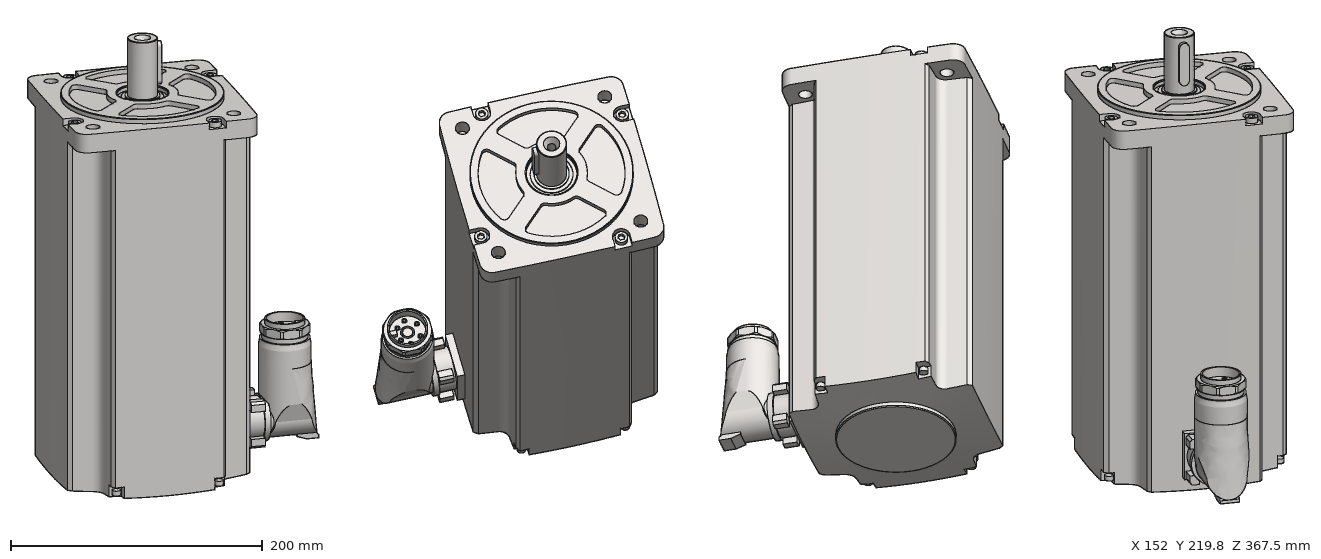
import cadquery as cq
import math

QUARTER_TURNS = [0, 90, 180, 270]

corner_half_width = 75
side_half_width = 76
corner_radius = 10
flange_thickness = 15.5
housing_bottom = -313.5
bolt_circle_dia = 165
bolt_hole_dia = 11

notch_wall = 48.5
notch_lip_start = 72
notch_draft = 1
notch_radius = 8
lip_depth = 2.8
lip_height = 4
outside = side_half_width + 5

rear_disc_dia = 96
rear_disc_height = 4
rear_disc_chamfer = 0.8
rear_cone_slope = 0.135
envelope_radius = 120

pilot_dia = 130
pilot_height = 4
pilot_chamfer = 0.5
pocket_outer_radius = 58.4
pocket_inner_radius = 28.5
pocket_depth = 4
rib_width = 16
pocket_fillet = 4

shaft_dia = 24
shaft_top = 50
shaft_chamfer = 0.5
centre_hole_dia = 6.65
centre_hole_depth = 20
centre_sink_dia = 13
centre_sink_angle = 60
key_width = 8
key_length = 36
key_end_gap = 4
key_height_above_shaft = 3
key_depth_in_shaft = 4
seal_lead_in_dia = 42
seal_lead_in_depth = 1
seal_bore_dia = 40.3
seal_bore_depth = 4
seal_outer_dia = 34
seal_inner_dia = 28
seal_step_height = 1

flange_screw_offset = 40
flange_screw_reach = 68
screw_slot_width = 14
screw_slot_depth = 5.5
screw_head_dia = 10
screw_head_height = 4.5
screw_socket_size = 5.8
screw_socket_depth = 3

cover_pocket_floor_x = 67.5
cover_pocket_inner_y = 37.5
cover_pocket_top = -299
cover_pocket_height = 7.5
cover_screw_x = 70.5
cover_screw_y = 42.5
cover_screw_dia = 7
cover_screw_height = 4

plug_y = 118
plug_dia = 42
plug_top = -218.3
shoulder_height = 4
collar_dia = 40.3
collar_height = 1.5
groove_dia = 37
groove_height = 4
nut_flats = 38.1
nut_height = 7.6
nut_chamfer = 1
insert_dia = 32
insert_height = 4.2
socket_dia = 29.4
socket_depth = 8
contact_circle_radius = 10.7
contact_angles = [0, 180, 238, 302]
small_contact_angles = [51, 129]
small_contact_circle_radius = 8.9
contact_hole_dia = 4
contact_hole_depth = 6
contact_pin_dia = 2
centre_contact_hole_dia = 11
centre_contact_dia = 8
coding_rib_width = 4

elbow_start = -233
elbow_narrowing_start = -263.4
elbow_bottom = -295
elbow_lean = 4.7
elbow_flat_start = 0.2
elbow_flat_length = 16
root_dia = 32
foot_outer_y = 143.8
foot_inner_y = 134
foot_slope_end_y = 126
foot_bottom = -297.7
foot_width = 16
neck_z = -278.3
ring_dia = 38.5
ring_outer_y = 101
ring_inner_y = 96.3
plate_width = 39
plate_outer_y = 82.2
neck_dia = 35
post_width = 8
post_outer_half_width = 19.3
post_chamfer = 2
post_gap = 2.5


def disc(diameter, bottom, height, x=0, y=0):
    return cq.Workplane("XY", origin=(x, y, bottom)).circle(diameter / 2).extrude(height)


def bar_along_y(diameter, start_y, end_y, z):
    plane = cq.Workplane("XZ", origin=(0, start_y, z))
    return plane.circle(diameter / 2).extrude(start_y - end_y)


def block(x_range, y_range, z_range):
    size = [end - start for start, end in (x_range, y_range, z_range)]
    return (
        cq.Workplane("XY")
        .box(*size, centered=False)
        .translate((x_range[0], y_range[0], z_range[0]))
    )


def turned(shape, angle):
    return shape.rotate((0, 0, 0), (0, 0, 1), angle)


def crowned_block():
    c = corner_half_width
    s = side_half_width
    return (
        cq.Workplane("XY")
        .moveTo(-c, -c)
        .threePointArc((0, -s), (c, -c))
        .threePointArc((s, 0), (c, c))
        .threePointArc((0, s), (-c, c))
        .threePointArc((-s, 0), (-c, -c))
        .close()
        .extrude(housing_bottom)
        .edges("|Z")
        .fillet(corner_radius)
    )


def rear_cone_envelope():
    disc_radius = rear_disc_dia / 2
    rim_z = housing_bottom + rear_cone_slope * (envelope_radius - disc_radius)
    return (
        cq.Workplane("XZ")
        .polyline([
            (0, 0),
            (envelope_radius, 0),
            (envelope_radius, rim_z),
            (disc_radius, housing_bottom),
            (0, housing_bottom),
        ])
        .close()
        .revolve(360, (0, 0, 0), (0, 1, 0))
    )


def corner_notch():
    arc_start = notch_wall + notch_radius
    arc_middle = arc_start - notch_radius * math.sqrt(0.5)
    lip_run = outside - notch_lip_start
    lip_base = notch_wall - notch_draft
    lip_end = lip_base - lip_run * lip_depth / lip_height
    return (
        cq.Workplane("XY", origin=(0, 0, housing_bottom))
        .moveTo(lip_end, outside)
        .lineTo(lip_base, notch_lip_start)
        .lineTo(notch_wall, arc_start)
        .threePointArc((arc_middle, arc_middle), (arc_start, notch_wall))
        .lineTo(notch_lip_start, lip_base)
        .lineTo(outside, lip_end)
        .lineTo(outside, outside)
        .close()
        .extrude(-housing_bottom - flange_thickness)
    )


def pilot_pocket():
    """The pocket on the +X side, between two ribs that run along the diagonals."""
    bottom = pilot_height - pocket_depth
    ring = disc(2 * pocket_outer_radius, bottom, pocket_depth).cut(
        disc(2 * pocket_inner_radius, bottom, pocket_depth)
    )
    wedge_tip = rib_width * math.sqrt(0.5)
    reach = pilot_dia
    wedge = (
        cq.Workplane("XY", origin=(0, 0, bottom))
        .polyline([
            (wedge_tip, 0),
            (wedge_tip + reach, reach),
            (wedge_tip + reach, -reach),
        ])
        .close()
        .extrude(pocket_depth)
    )
    return ring.intersect(wedge).edges("|Z").fillet(pocket_fillet)


def flange_screw_slot():
    plane = cq.Workplane("XY", origin=(flange_screw_offset, -flange_screw_reach, 0))
    half = screw_slot_width / 2
    end = flange_screw_reach - outside
    return (
        plane.moveTo(-half, end)
        .lineTo(-half, 0)
        .threePointArc((0, half), (half, 0))
        .lineTo(half, end)
        .close()
        .extrude(-screw_slot_depth)
    )


def flange_screw():
    return (
        disc(screw_head_dia, -screw_slot_depth, screw_head_height,
             flange_screw_offset, -flange_screw_reach)
        .faces(">Z")
        .workplane(origin=(flange_screw_offset, -flange_screw_reach, 0))
        .polygon(6, screw_socket_size)
        .cutBlind(-screw_socket_depth)
    )


def cover_pocket(side_x, side_y):
    x_range = sorted([side_x * cover_pocket_floor_x, side_x * outside])
    y_range = sorted([side_y * cover_pocket_inner_y, side_y * notch_wall])
    return block(x_range, y_range, (housing_bottom, cover_pocket_top))


def cover_screw(side_x, side_y):
    """Screw head standing against the pocket wall."""
    x = side_x * cover_screw_x
    y = side_y * cover_screw_y
    seat = cover_pocket_top - cover_pocket_height
    return disc(cover_screw_dia, seat, cover_screw_height, x, y)


def add_seal_and_shaft(body):
    seal_floor = pilot_height - seal_bore_depth
    body = body.cut(disc(seal_lead_in_dia, pilot_height - seal_lead_in_depth, seal_lead_in_depth))
    body = body.cut(disc(seal_bore_dia, seal_floor, seal_bore_depth))
    body = body.union(disc(seal_outer_dia, seal_floor, seal_step_height))
    body = body.union(disc(seal_inner_dia, seal_floor, 2 * seal_step_height))
    shaft = disc(shaft_dia, seal_floor, shaft_top - seal_floor).faces(">Z").chamfer(shaft_chamfer)
    body = body.union(shaft).union(feather_key())
    return (
        body.faces(">Z")
        .workplane(origin=(0, 0, 0))
        .cskHole(centre_hole_dia, centre_sink_dia, centre_sink_angle, centre_hole_depth)
    )


def feather_key():
    key_bottom_y = shaft_dia / 2 - key_depth_in_shaft
    key_z = shaft_top - key_end_gap - key_length / 2
    return (
        cq.Workplane("XZ", origin=(0, key_bottom_y, key_z))
        .slot2D(key_length, key_width, 90)
        .extrude(-key_depth_in_shaft - key_height_above_shaft)
    )


def make_motor():
    body = crowned_block().intersect(rear_cone_envelope())
    for angle in QUARTER_TURNS:
        body = body.cut(turned(corner_notch(), angle))
    rear_disc = (
        disc(rear_disc_dia, housing_bottom - rear_disc_height, rear_disc_height)
        .faces("<Z")
        .chamfer(rear_disc_chamfer)
    )
    pilot = disc(pilot_dia, 0, pilot_height).faces(">Z").chamfer(pilot_chamfer)
    body = body.union(rear_disc).union(pilot)

    bolt_place = bolt_circle_dia / 2 * math.sqrt(0.5)
    bolt_hole = disc(bolt_hole_dia, -flange_thickness, flange_thickness, bolt_place, bolt_place)
    for angle in QUARTER_TURNS:
        body = body.cut(turned(bolt_hole, angle))
        body = body.cut(turned(pilot_pocket(), angle))
        body = body.cut(turned(flange_screw_slot(), angle))
        body = body.union(turned(flange_screw(), angle))
    for side_x in (-1, 1):
        for side_y in (-1, 1):
            body = body.cut(cover_pocket(side_x, side_y))
            screw = cover_screw(side_x, side_y)
            body = body.union(screw)
    return add_seal_and_shaft(body)


def plug_head():
    """Shoulder, collar, groove, coupling nut and insert stacked on the plug body."""
    shoulder = (
        cq.Workplane("XY", origin=(0, plug_y, plug_top))
        .circle(plug_dia / 2)
        .workplane(offset=shoulder_height)
        .circle(collar_dia / 2)
        .loft()
    )
    collar_bottom = plug_top + shoulder_height
    groove_bottom = collar_bottom + collar_height
    nut_bottom = groove_bottom + groove_height
    insert_bottom = nut_bottom + nut_height
    octagon = (
        cq.Workplane("XY", origin=(0, plug_y, nut_bottom))
        .polygon(8, nut_flats, circumscribed=True)
        .extrude(nut_height)
    )
    nut = (
        disc(collar_dia, nut_bottom, nut_height, 0, plug_y)
        .faces("<Z or >Z")
        .chamfer(nut_chamfer)
        .intersect(octagon)
    )
    insert = disc(insert_dia, insert_bottom, insert_height, 0, plug_y)
    head = (
        shoulder.union(disc(collar_dia, collar_bottom, collar_height, 0, plug_y))
        .union(disc(groove_dia, groove_bottom, groove_height, 0, plug_y))
        .union(nut)
        .union(insert)
    )
    return cut_contact_face(head, insert_bottom + insert_height)


def cut_contact_face(head, top):
    floor = top - socket_depth
    hole_bottom = floor - contact_hole_depth
    head = head.cut(disc(socket_dia, floor, socket_depth, 0, plug_y))
    contacts = [(contact_circle_radius, angle) for angle in contact_angles]
    contacts += [(small_contact_circle_radius, angle) for angle in small_contact_angles]
    for radius, angle in contacts:
        x = radius * math.cos(math.radians(angle))
        y = plug_y + radius * math.sin(math.radians(angle))
        head = head.cut(disc(contact_hole_dia, hole_bottom, contact_hole_depth, x, y))
        head = head.union(disc(contact_pin_dia, hole_bottom, contact_hole_depth, x, y))
    head = head.cut(disc(centre_contact_hole_dia, hole_bottom, contact_hole_depth, 0, plug_y))
    head = head.union(disc(centre_contact_dia, hole_bottom, contact_hole_depth, 0, plug_y))
    rib = block(
        (-coding_rib_width / 2, coding_rib_width / 2),
        (plug_y + contact_circle_radius - coding_rib_width / 2, plug_y + socket_dia / 2),
        (floor, floor + socket_depth / 2),
    )
    return head.union(rib)


def elbow_section():
    """Section across X: full width above, flat flanks that narrow, then a half round."""
    half_width = plug_dia / 2
    round_radius = neck_z - elbow_bottom
    return (
        cq.Workplane("XZ", origin=(0, ring_inner_y, 0))
        .moveTo(-half_width, plug_top)
        .lineTo(-half_width, elbow_narrowing_start)
        .lineTo(-round_radius, neck_z)
        .threePointArc((0, elbow_bottom), (round_radius, neck_z))
        .lineTo(half_width, elbow_narrowing_start)
        .lineTo(half_width, plug_top)
        .close()
        .extrude(ring_inner_y - foot_outer_y)
    )


def barrel_outline(z, flat_length, lean):
    """Circle of the plug, stretched outward by side flats and closed by a flatter arc."""
    radius = plug_dia / 2
    return (
        cq.Workplane("XY", origin=(0, plug_y, z))
        .moveTo(-radius, 0)
        .threePointArc((0, -radius), (radius, 0))
        .lineTo(radius, flat_length)
        .threePointArc((0, radius + lean), (-radius, flat_length))
        .close()
        .val()
    )


def elbow():
    """Upright barrel that widens outward below, narrowed to a round underside."""
    radius = plug_dia / 2
    upright = disc(plug_dia, elbow_start, plug_top - elbow_start, 0, plug_y)
    bottom_outline = barrel_outline(elbow_bottom, elbow_flat_length, elbow_lean)
    top_outline = barrel_outline(elbow_start, elbow_flat_start, elbow_flat_start)
    widened = cq.Workplane(cq.Solid.makeLoft([bottom_outline, top_outline], True))
    foot_top = elbow_bottom + plug_dia / 8
    foot = (
        cq.Workplane("YZ")
        .polyline([
            (foot_outer_y, foot_bottom),
            (foot_outer_y, elbow_bottom),
            (plug_y + radius, foot_top),
            (foot_slope_end_y, foot_top),
            (foot_slope_end_y, elbow_bottom),
            (foot_inner_y, foot_bottom),
        ])
        .close()
        .extrude(foot_width / 2, both=True)
    )
    return widened.intersect(elbow_section()).union(upright).union(foot)


def neck():
    ring = bar_along_y(ring_dia, ring_inner_y, ring_outer_y, neck_z)
    core = bar_along_y(neck_dia, plate_outer_y, ring_inner_y, neck_z)
    half = plate_width / 2
    plate = block((-half, half), (notch_lip_start, plate_outer_y), (neck_z - half, neck_z + half))
    root = bar_along_y(root_dia, ring_inner_y, plug_y, neck_z)
    shape = ring.union(core).union(plate).union(root)
    post = block(
        (post_outer_half_width - post_width, post_outer_half_width),
        (plate_outer_y + post_gap, ring_inner_y),
        (post_outer_half_width - post_width, post_outer_half_width),
    )
    post = post.edges("|Y and >X and >Z").chamfer(post_chamfer)
    for mirror_x in (False, True):
        for mirror_z in (False, True):
            placed = post.mirror("YZ") if mirror_x else post
            placed = placed.mirror("XY") if mirror_z else placed
            shape = shape.union(placed.translate((0, 0, neck_z)))
    return shape


def make_connector(motor_body):
    """The base plate is fitted to the crowned side of the motor."""
    return elbow().union(plug_head()).union(neck()).cut(motor_body)


motor = make_motor()
connector = make_connector(motor)
result = cq.Compound.makeCompound([*motor.solids().vals(), *connector.solids().vals()])